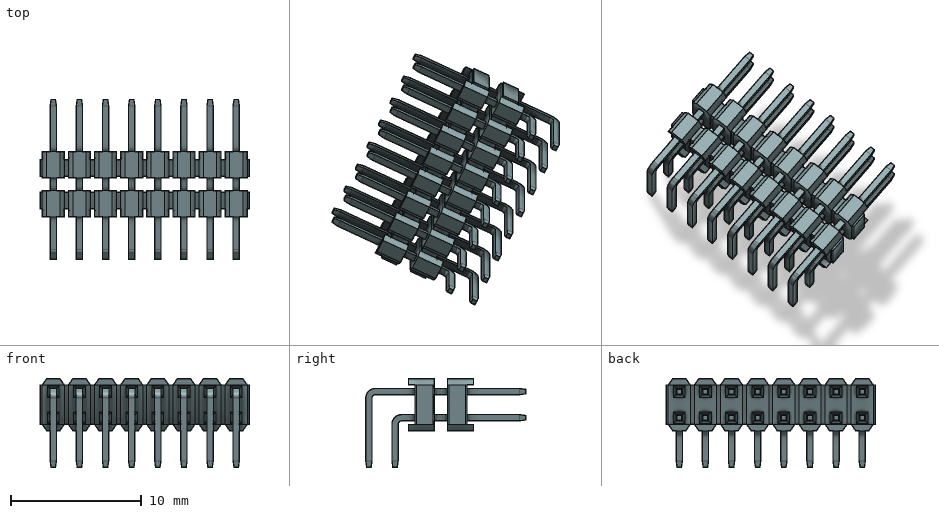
import cadquery as cq


columns = 8
pitch = 2.0
row_offset = pitch / 2
column_positions = [(i - (columns - 1) / 2) * pitch for i in range(columns)]

pin_width = 0.5
tip_width = 0.35
tip_length = 0.5
bend_outer_radius = 0.75
bend_inner_radius = bend_outer_radius - pin_width
contact_end = 6.5
leg_end = -4.8
long_leg_face = -5.76
short_leg_face = long_leg_face + pitch

strip_gap = 1.0
strip_height = 4.0
cell_width = 1.7
cap_top_width = 1.0
cap_height = 0.5
cap_depth = 2.0
body_depth = 1.5
body_height = strip_height - 2 * cap_height
web_inset = 0.11
web_depth = body_depth - 2 * web_inset
inner_face = strip_gap / 2
outer_face = inner_face + body_depth

funnel_width = 0.9
funnel_depth = (funnel_width - pin_width) / 2


def box(x_size, y_size, z_size, y_start):
    """Box centred on X and Z, reaching from y_start toward +Y."""
    return cq.Workplane("XY").box(x_size, y_size, z_size).translate((0, y_start + y_size / 2, 0))


def cap():
    """Top cap of one cell: a trapezoid in XZ, overhanging the outer face of the body."""
    bottom = body_height / 2
    top = strip_height / 2
    outline = [
        (-cell_width / 2, bottom),
        (cell_width / 2, bottom),
        (cap_top_width / 2, top),
        (-cap_top_width / 2, top),
    ]
    return cq.Workplane("XZ", origin=(0, inner_face, 0)).polyline(outline).close().extrude(-cap_depth)


def funnel():
    """Square pyramid frustum narrowing from the outer face inward to the pin section."""
    return (
        cq.Workplane("XZ", origin=(0, outer_face, 0))
        .rect(funnel_width, funnel_width)
        .workplane(offset=funnel_depth)
        .rect(pin_width, pin_width)
        .loft(combine=True)
    )


def cell():
    """Capped body cell with a web stub on each side that meets the stub of the next cell."""
    body = box(cell_width, body_depth, body_height, inner_face)
    web = box(pitch, web_depth, body_height, inner_face + web_inset)
    solid = body.union(web).union(cap()).union(cap().mirror("XY"))
    for z in (-row_offset, row_offset):
        solid = solid.cut(funnel().translate((0, 0, z)))
    return solid


def rear_strip():
    """Row of cells joined side by side through their web stubs."""
    one_cell = cell()
    strip = one_cell.translate((column_positions[0], 0, 0))
    for x in column_positions[1:]:
        strip = strip.union(one_cell.translate((x, 0, 0)))
    return strip


def tip():
    """Tapered pin end pointing along +Z from the origin."""
    return (
        cq.Workplane("XY")
        .rect(pin_width, pin_width)
        .workplane(offset=tip_length)
        .rect(tip_width, tip_width)
        .loft(combine=True)
    )


def pin(z, leg_face):
    """Square pin with a horizontal contact at height z, bent down into a leg with its front at leg_face."""
    contact_start = contact_end - tip_length
    leg_start = leg_end + tip_length
    top = z + pin_width / 2
    bottom = z - pin_width / 2
    leg_back = leg_face + pin_width
    bar = (
        cq.Workplane("YZ", origin=(-pin_width / 2, 0, 0))
        .moveTo(contact_start, top)
        .lineTo(leg_face + bend_outer_radius, top)
        .radiusArc((leg_face, top - bend_outer_radius), -bend_outer_radius)
        .lineTo(leg_face, leg_start)
        .lineTo(leg_back, leg_start)
        .lineTo(leg_back, bottom - bend_inner_radius)
        .radiusArc((leg_back + bend_inner_radius, bottom), bend_inner_radius)
        .lineTo(contact_start, bottom)
        .close()
        .extrude(pin_width)
    )
    contact_tip = tip().rotate((0, 0, 0), (1, 0, 0), -90).translate((0, contact_start, z))
    leg_tip = tip().rotate((0, 0, 0), (1, 0, 0), 180).translate((0, leg_face + pin_width / 2, leg_start))
    return bar.union(contact_tip).union(leg_tip)


strip = rear_strip()
result = strip.union(strip.mirror("XZ"))
upper_pin = pin(row_offset, long_leg_face)
lower_pin = pin(-row_offset, short_leg_face)
for x in column_positions:
    result = result.union(upper_pin.translate((x, 0, 0)))
    result = result.union(lower_pin.translate((x, 0, 0)))